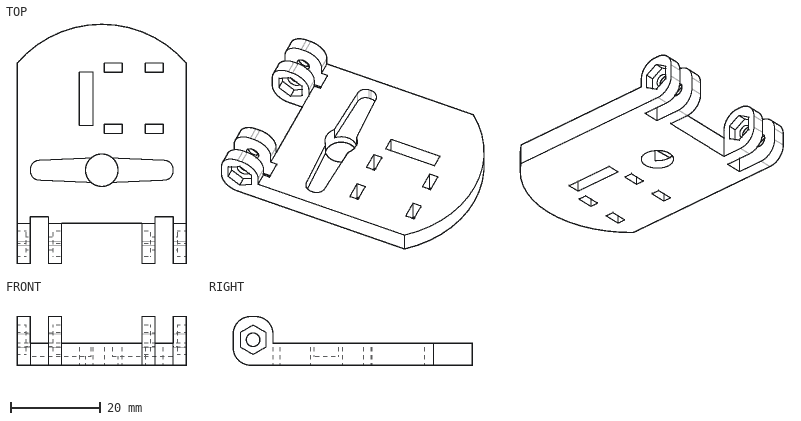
import cadquery as cq
import math

plate_width = 38.0
plate_thickness = 5.0
plate_front = -12.0
nose_tip = 32.75
nose_radius = 25.0
half_width = plate_width / 2
nose_start = nose_tip - nose_radius + math.sqrt(nose_radius**2 - half_width**2)

knuckle_width = 3.0
knuckle_length = 9.0
knuckle_height = 11.0
knuckle_radius = 4.0
knuckle_gap = 4.0
gap_end = -10.5
knuckle_front = plate_front - knuckle_length
outer_gap_edge = half_width - knuckle_width
inner_gap_edge = outer_gap_edge - knuckle_gap
inner_knuckle_edge = inner_gap_edge - knuckle_width
knuckle_starts = (-half_width, -inner_gap_edge, inner_knuckle_edge, outer_gap_edge)

pin_diameter = 3.0
pin_y = plate_front - knuckle_length / 2
pin_z = 5.75
nut_sides = 6
nut_corner_radius = 3.3
nut_depth = 2.0
nut_pocket_starts = (
    -half_width,
    -inner_knuckle_edge - nut_depth,
    inner_knuckle_edge,
    half_width - nut_depth,
)

servo_y = -0.04
hub_diameter = 7.25
horn_depth = 3.0
horn_reach = 16.0
horn_tip_width = 4.3
horn_corner_radius = 2.0
horn_root_width = 5.7

long_window_size = (3.0, 12.0)
long_window_center = (-3.5, 16.0)
small_window_size = (4.0, 2.0)
small_window_columns = (2.6, 11.8)
small_window_rows = (9.25, 23.0)


def make_plate():
    """Flat plate with a straight front and an arc-shaped rear end."""
    return (
        cq.Workplane("XY")
        .moveTo(-half_width, plate_front)
        .lineTo(half_width, plate_front)
        .lineTo(half_width, nose_start)
        .threePointArc((0, nose_tip), (-half_width, nose_start))
        .close()
        .extrude(plate_thickness)
    )


def make_knuckle(start_x):
    """Hinge knuckle with rounded top corners and a rounded lower front corner."""
    block = cq.Workplane("XY").box(knuckle_width, knuckle_length, knuckle_height, centered=False)
    block = block.edges("|X and (>Z or <Y)").fillet(knuckle_radius)
    return block.translate((start_x, knuckle_front, 0))


def make_gap(side):
    """Clearance between the knuckles of one pair, reaching into the plate."""
    gap_length = gap_end - knuckle_front
    center_x = side * (outer_gap_edge + inner_gap_edge) / 2
    gap = cq.Workplane("XY").box(knuckle_gap, gap_length, knuckle_height, centered=(True, False, False))
    return gap.translate((center_x, knuckle_front, 0))


def make_pin_hole():
    """Pin bore running through all knuckles along X."""
    return (
        cq.Workplane("YZ", origin=(-half_width, 0, 0))
        .center(pin_y, pin_z)
        .circle(pin_diameter / 2)
        .extrude(plate_width)
    )


def make_nut_pocket(start_x):
    """Hexagonal nut pocket with corners pointing up and down, sunk in an outer face of a knuckle pair."""
    corners = []
    for i in range(nut_sides):
        angle = i * math.tau / nut_sides
        corner_y = pin_y + nut_corner_radius * math.sin(angle)
        corner_z = pin_z + nut_corner_radius * math.cos(angle)
        corners.append((corner_y, corner_z))
    return cq.Workplane("YZ", origin=(start_x, 0, 0)).polyline(corners).close().extrude(nut_depth)


def make_hub_hole():
    """Round hole through the plate for the servo hub."""
    return cq.Workplane("XY").center(0, servo_y).circle(hub_diameter / 2).extrude(plate_thickness)


def make_horn_recess():
    """Two-armed tapered pocket with rounded tips, sunk from the top face."""
    tip_y = horn_tip_width / 2
    root_y = horn_root_width / 2
    outline = [
        (0, root_y),
        (horn_reach, tip_y),
        (horn_reach, -tip_y),
        (0, -root_y),
        (-horn_reach, -tip_y),
        (-horn_reach, tip_y),
    ]
    recess = cq.Workplane("XY", origin=(0, servo_y, plate_thickness - horn_depth)).polyline(outline).close()
    return recess.extrude(horn_depth).edges("|Z and (<X or >X)").fillet(horn_corner_radius)


def make_window(size, center):
    """Rectangular opening through the plate."""
    return cq.Workplane("XY").center(*center).rect(*size).extrude(plate_thickness)


result = make_plate()
for start_x in knuckle_starts:
    result = result.union(make_knuckle(start_x))
for side in (-1, 1):
    result = result.cut(make_gap(side))

result = result.cut(make_pin_hole())
for start_x in nut_pocket_starts:
    result = result.cut(make_nut_pocket(start_x))

result = result.cut(make_hub_hole())
result = result.cut(make_horn_recess())

result = result.cut(make_window(long_window_size, long_window_center))
for column_x in small_window_columns:
    for row_y in small_window_rows:
        result = result.cut(make_window(small_window_size, (column_x, row_y)))